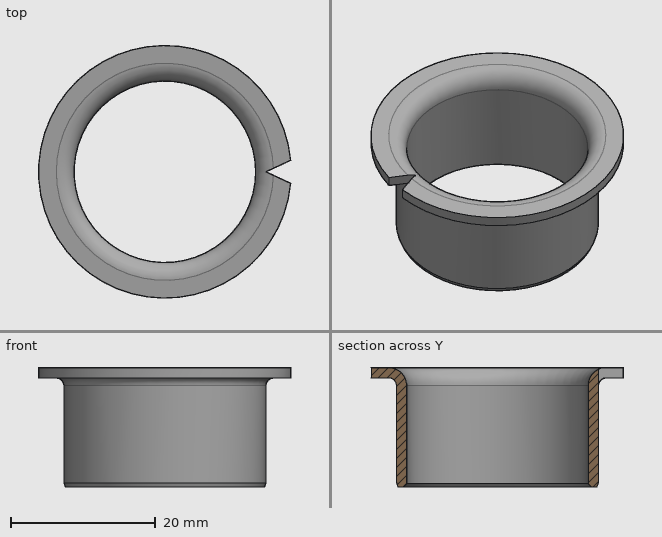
import cadquery as cq
import math

flange_diameter = 34.87
bore_diameter = 25.0
wall = 1.45
height = 16.5
outer_fillet = 1.0
chamfer_height = 0.6
chamfer_width = 0.2
bore_chamfer = 0.5
notch_angle = 50.0

flange_radius = flange_diameter / 2
bore_radius = bore_diameter / 2
body_radius = bore_radius + wall
mouth_radius = outer_fillet + wall
bend_x = bore_radius + mouth_radius
bend_z = height - mouth_radius
diagonal = math.sqrt(0.5)


def flanged_sleeve():
    """Revolve the wall section, a sleeve bent outwards into a flange."""
    section = (
        cq.Workplane("XZ")
        .moveTo(bore_radius, bore_chamfer)
        .lineTo(bore_radius + bore_chamfer, 0)
        .lineTo(body_radius - chamfer_width, 0)
        .lineTo(body_radius, chamfer_height)
        .lineTo(body_radius, bend_z)
        .threePointArc(
            (bend_x - outer_fillet * diagonal, bend_z + outer_fillet * diagonal),
            (bend_x, bend_z + outer_fillet),
        )
        .lineTo(flange_radius, height - wall)
        .lineTo(flange_radius, height)
        .lineTo(bend_x, height)
        .threePointArc(
            (bend_x - mouth_radius * diagonal, bend_z + mouth_radius * diagonal),
            (bore_radius, bend_z),
        )
        .close()
    )
    return section.revolve(360, (0, 0, 0), (0, 1, 0))


def flange_notch():
    """V notch on the +X side, its tip on the outer surface of the sleeve."""
    notch_end = flange_diameter
    half_width = (notch_end - body_radius) * math.tan(math.radians(notch_angle / 2))
    return (
        cq.Workplane("XY")
        .polyline([(body_radius, 0), (notch_end, -half_width), (notch_end, half_width)])
        .close()
        .extrude(height)
    )


result = flanged_sleeve().cut(flange_notch())